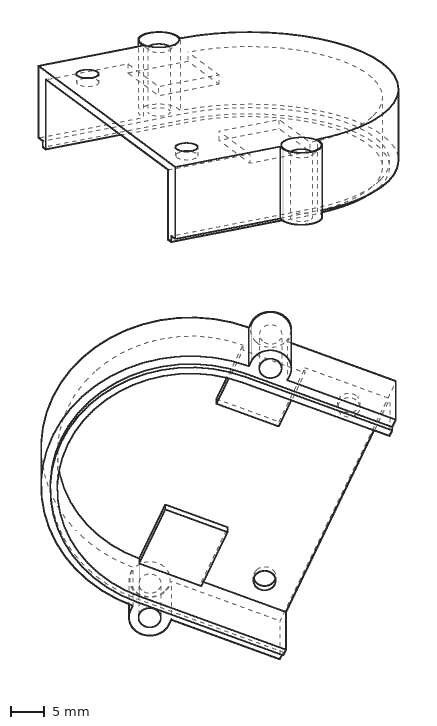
import cadquery as cq

overall_width = 52.2
overall_length = 45.7
overall_height = 12.5
shell_radius = 22.15
wall = 2.4
roof = 1.3

lip_height = 1.0
lip_setback = 1.35

ear_radius = 3.1
screw_diameter = 3.3
countersink_diameter = 5.95
countersink_angle = 90.0

roof_hole_x = 16.0
roof_hole_from_front = 5.0

pad_size = 9.95
pad_drop = 1.45

wall_height = overall_height - lip_height
front_y = shell_radius - overall_length
cavity_radius = shell_radius - wall
cavity_ceiling = wall_height - roof
ear_x = overall_width / 2 - ear_radius
ear_y = -ear_radius
sides = (-1, 1)


def arched_block(radius, bottom, top):
    """Block with straight sides and a flat front, closed by a half-round end."""
    return (
        cq.Workplane("XY", origin=(0, 0, bottom))
        .moveTo(-radius, front_y)
        .lineTo(radius, front_y)
        .lineTo(radius, 0)
        .threePointArc((0, radius), (-radius, 0))
        .close()
        .extrude(top - bottom)
    )


def ear(side):
    """Round screw post joined to the side wall by a short block of the same width."""
    post = cq.Workplane("XY").center(side * ear_x, ear_y).circle(ear_radius).extrude(wall_height)
    bridge_length = ear_x - cavity_radius
    bridge_x = side * (ear_x + cavity_radius) / 2
    bridge = (
        cq.Workplane("XY")
        .center(bridge_x, ear_y)
        .rect(bridge_length, 2 * ear_radius)
        .extrude(wall_height)
    )
    return post.union(bridge)


def pad(side):
    """Square pad under the roof, ending where the round end begins."""
    pad_x = side * (cavity_radius - pad_size / 2)
    return (
        cq.Workplane("XY", origin=(pad_x, -pad_size / 2, cavity_ceiling - pad_drop))
        .rect(pad_size, pad_size)
        .extrude(pad_drop)
    )


result = arched_block(shell_radius, 0, wall_height)
result = result.union(arched_block(shell_radius - lip_setback, -lip_height, 0))
for side in sides:
    result = result.union(ear(side))
result = result.cut(arched_block(cavity_radius, -lip_height, cavity_ceiling))
for side in sides:
    result = result.union(pad(side))

result = (
    result.faces(">Z")
    .workplane(origin=(0, 0, wall_height))
    .pushPoints([(side * ear_x, ear_y) for side in sides])
    .cskHole(screw_diameter, countersink_diameter, countersink_angle, depth=wall_height)
)

result = (
    result.faces(">Z")
    .workplane(origin=(0, 0, wall_height))
    .pushPoints([(side * roof_hole_x, front_y + roof_hole_from_front) for side in sides])
    .hole(screw_diameter, depth=roof)
)